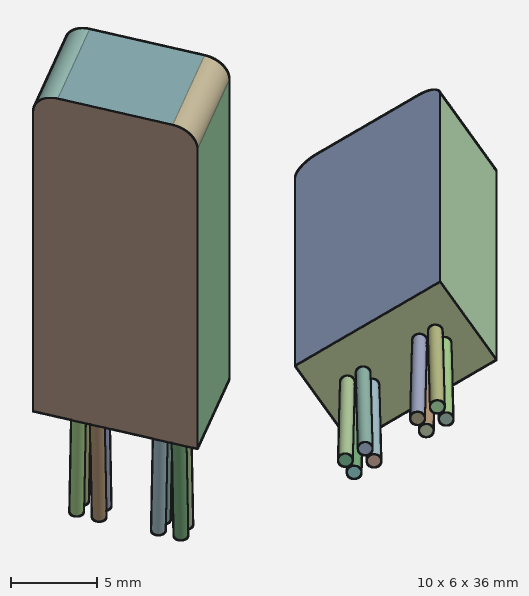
import cadquery as cq

total_height = 36.0
housing_width = 10.0
housing_depth = 6.0
housing_height = 26.0
top_corner_radius = 1.5

lead_length = total_height - housing_height
lead_diameter = 0.85
group_offset = 2.5
root_offset = 0.55
tip_offset = 0.7
row_offset = 0.45


def make_housing():
    """Rectangular block with its two upper side corners rounded."""
    block = cq.Workplane("XY").box(
        housing_width, housing_depth, housing_height, centered=(True, True, False)
    )
    return block.edges("|Y and >Z").fillet(top_corner_radius)


def make_lead(group_side, column_side, row_side):
    """Round lead leaning away from its group's centre, with level ends."""
    root_x = group_side * group_offset + column_side * root_offset
    splay = column_side * (tip_offset - root_offset)
    return (
        cq.Workplane("XY")
        .center(root_x, row_side * row_offset)
        .circle(lead_diameter / 2)
        .workplane(offset=-lead_length)
        .center(splay, 0)
        .circle(lead_diameter / 2)
        .loft(ruled=True)
    )


housing = make_housing()
sides = (-1, 1)
leads = [
    make_lead(group_side, column_side, row_side).val()
    for group_side in sides
    for column_side in sides
    for row_side in sides
]

result = cq.Compound.makeCompound([housing.val(), *leads])